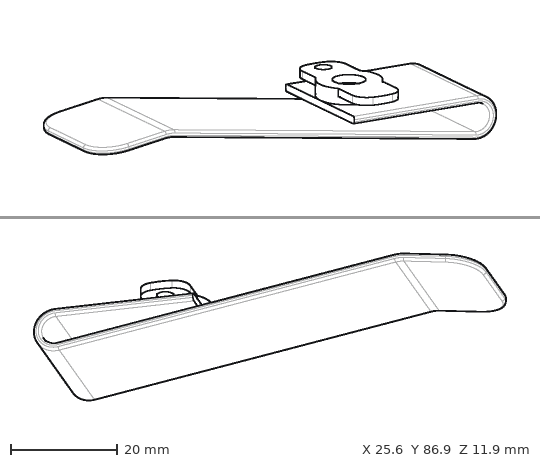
import cadquery as cq
import math

clip_width = 25.6
clip_length = 86.9
clip_height = 11.9

thickness = 1.5
edge_radius = 0.5
tip_corner_radius = 6.3
loop_radius = 4.3
upper_leg_end = 12.2
lower_leg_angle = math.radians(8.9)
tip_angle = math.radians(8.2)
crest_radius = 6.1

boss_diameter = 12.7
boss_gap = 1.6
plate_thickness = 1.6
plate_depth = 9.6
plate_end_radius = 12.6
plate_corner_radius = 3.2
center_hole_diameter = 6.35
side_hole_diameter = 3.2
side_hole_offset = 9.5

half = thickness / 2
boss_y = upper_leg_end + boss_diameter / 2
upper_leg_top = 2 * loop_radius

loop_y = clip_length / 2 - loop_radius
loop_z = loop_radius
loop_mid_radius = loop_radius - half
crest_z = clip_height - half - crest_radius
crest_run = loop_mid_radius + crest_radius + (crest_z - loop_z) * math.cos(lower_leg_angle)
crest_y = loop_y - crest_run / math.sin(lower_leg_angle)

tip_rounding = edge_radius * (1 - math.cos(tip_angle)) + (half - edge_radius) * math.sin(tip_angle)
tip_end_y = -clip_length / 2 + tip_rounding
tip_start_y = crest_y - crest_radius * math.sin(tip_angle)
tip_start_z = crest_z + crest_radius * math.cos(tip_angle)
tip_end_z = tip_start_z - (tip_start_y - tip_end_y) * math.tan(tip_angle)


def polar(center, radius, angle):
    return (center[0] + radius * math.cos(angle), center[1] + radius * math.sin(angle))


def arc(center, radius, start, end):
    """Middle and last point of an arc between two angles."""
    return polar(center, radius, (start + end) / 2), polar(center, radius, end)


def strip_profile():
    """Closed YZ outline of the bent strip: outside face out to the tip, inside face back."""
    loop = (loop_y, loop_z)
    crest = (crest_y, crest_z)
    tip_end = (tip_end_y, tip_end_z)
    up = math.pi / 2
    loop_exit = -up - lower_leg_angle
    crest_start = up - lower_leg_angle
    crest_end = up + tip_angle
    loop_inner = loop_radius - thickness
    crest_under = crest_radius - half
    crest_over = crest_radius + half
    return (
        cq.Workplane("YZ", origin=(-clip_width / 2, 0, 0))
        .moveTo(upper_leg_end, upper_leg_top)
        .lineTo(loop_y, upper_leg_top)
        .threePointArc(*arc(loop, loop_radius, up, loop_exit))
        .lineTo(*polar(crest, crest_under, crest_start))
        .threePointArc(*arc(crest, crest_under, crest_start, crest_end))
        .lineTo(*polar(tip_end, -half, crest_end))
        .lineTo(*polar(tip_end, half, crest_end))
        .lineTo(*polar(crest, crest_over, crest_end))
        .threePointArc(*arc(crest, crest_over, crest_end, crest_start))
        .lineTo(*polar(loop, loop_inner, loop_exit))
        .threePointArc(*arc(loop, loop_inner, loop_exit, up))
        .lineTo(upper_leg_end, upper_leg_top - thickness)
        .close()
    )


def make_strip():
    strip = strip_profile().extrude(clip_width)
    tip_normal = cq.Vector(0, -math.sin(tip_angle), math.cos(tip_angle))
    tip_corners = strip.faces("<Y").edges(cq.selectors.ParallelDirSelector(tip_normal))
    strip = tip_corners.fillet(tip_corner_radius)
    return strip.faces("<X or >X").edges("|Y").fillet(edge_radius)


def make_plate():
    """Rounded bar with gently curved ends; the boss passes through its middle."""
    bar_end = cq.Workplane("XY").circle(plate_end_radius).extrude(plate_thickness)
    bar = cq.Workplane("XY").box(
        2 * plate_end_radius, plate_depth, plate_thickness, centered=(True, True, False)
    )
    plate = bar.intersect(bar_end).edges("|Z").fillet(plate_corner_radius)
    return plate.translate((0, boss_y, upper_leg_top + boss_gap))


def make_boss():
    """Cylinder sunk halfway into the upper leg and level with the top of the plate."""
    return (
        cq.Workplane("XY", origin=(0, boss_y, upper_leg_top - half))
        .circle(boss_diameter / 2)
        .extrude(half + boss_gap + plate_thickness)
    )


def make_hole(x, diameter):
    """Hole through the plate's thickness."""
    return (
        cq.Workplane("XY", origin=(x, boss_y, upper_leg_top + boss_gap))
        .circle(diameter / 2)
        .extrude(plate_thickness)
    )


result = make_strip().union(make_boss()).union(make_plate())
result = result.cut(make_hole(0, center_hole_diameter))
result = result.cut(make_hole(-side_hole_offset, side_hole_diameter))